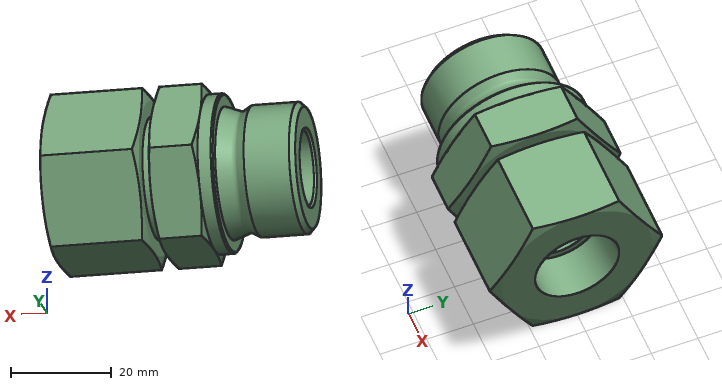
import cadquery as cq
import math


across_flats = 32.0
across_corners = across_flats / math.cos(math.radians(30))
hex_chamfer_angle = 15.0
full_chamfer_radius = across_flats / 2
neck_side_chamfer_radius = 15.7
nut_front_chamfer_radius = 15.5

thread_radius = 26.44 / 2
thread_chamfer = 1.05
thread_end = 10.25
undercut_radius = 12.14
thread_side_angle = 30.0
thread_side_fillet = 1.0
flange_side_angle = 20.0
flange_side_fillet = 1.5

flange_start = 16.0
flange_radius = across_flats / 2
flange_chamfer = 0.35
body_hex_start = 19.0
body_hex_end = 29.0

neck_radius = 12.35
neck_fillet = 1.0
neck_end = 41.0

bore_radius = 7.5
bore_chamfer = 0.5

nut_start = 31.0
nut_end = 51.0
tube_hole_radius = 9.0


def cylinder(start, end, radius):
    """Cylinder along X between two axial positions."""
    return cq.Workplane("YZ").workplane(offset=start).circle(radius).extrude(end - start)


def chamfered_hexagon(start, end, start_radius, end_radius):
    """Hexagonal prism along X, its corners cut by a cone at each end."""
    corner_radius = across_corners / 2
    slope = math.tan(math.radians(hex_chamfer_angle))
    prism = (
        cq.Workplane("YZ")
        .workplane(offset=start)
        .polygon(6, across_corners)
        .extrude(end - start)
    )
    envelope = (
        cq.Workplane("XY")
        .moveTo(start, 0)
        .lineTo(start, start_radius)
        .lineTo(start + (corner_radius - start_radius) * slope, corner_radius)
        .lineTo(end - (corner_radius - end_radius) * slope, corner_radius)
        .lineTo(end, end_radius)
        .lineTo(end, 0)
        .close()
        .revolve(360, (0, 0), (1, 0))
    )
    return prism.intersect(envelope)


def arc_point(center_x, radius, angle):
    """Point of an undercut fillet, at an angle in degrees from its lowest point."""
    turn = math.radians(angle)
    return (
        center_x + radius * math.sin(turn),
        undercut_radius + radius * (1 - math.cos(turn)),
    )


def turned_front():
    """Stud, undercut with tangent fillets between two cones, and flange."""
    front_start = arc_point(0, thread_side_fillet, -thread_side_angle)
    cone_length = (thread_radius - front_start[1]) / math.tan(math.radians(thread_side_angle))
    lowest_x = thread_end + cone_length - front_start[0]

    thread_side_top = arc_point(lowest_x, thread_side_fillet, -thread_side_angle)
    thread_side_middle = arc_point(lowest_x, thread_side_fillet, -thread_side_angle / 2)
    flange_side_middle = arc_point(lowest_x, flange_side_fillet, flange_side_angle / 2)
    flange_side_top = arc_point(lowest_x, flange_side_fillet, flange_side_angle)
    flange_cone_rise = (flange_start - flange_side_top[0]) * math.tan(math.radians(flange_side_angle))

    return (
        cq.Workplane("XY")
        .moveTo(0, 0)
        .lineTo(0, thread_radius - thread_chamfer)
        .lineTo(thread_chamfer, thread_radius)
        .lineTo(thread_end, thread_radius)
        .lineTo(*thread_side_top)
        .threePointArc(thread_side_middle, (lowest_x, undercut_radius))
        .threePointArc(flange_side_middle, flange_side_top)
        .lineTo(flange_start, flange_side_top[1] + flange_cone_rise)
        .lineTo(flange_start, flange_radius - flange_chamfer)
        .lineTo(flange_start + flange_chamfer, flange_radius)
        .lineTo(body_hex_start, flange_radius)
        .lineTo(body_hex_start, 0)
        .close()
        .revolve(360, (0, 0), (1, 0))
    )


def turned_neck():
    """Neck behind the body hexagon, with a fillet at its root."""
    arc_offset = neck_fillet * (1 - math.sqrt(0.5))
    return (
        cq.Workplane("XY")
        .moveTo(body_hex_end, 0)
        .lineTo(body_hex_end, neck_radius + neck_fillet)
        .threePointArc(
            (body_hex_end + arc_offset, neck_radius + arc_offset),
            (body_hex_end + neck_fillet, neck_radius),
        )
        .lineTo(neck_end, neck_radius)
        .lineTo(neck_end, 0)
        .close()
        .revolve(360, (0, 0), (1, 0))
    )


def body_bore():
    """Through bore with a chamfer at the stud end."""
    return (
        cq.Workplane("XY")
        .moveTo(0, 0)
        .lineTo(0, bore_radius + bore_chamfer)
        .lineTo(bore_chamfer, bore_radius)
        .lineTo(neck_end, bore_radius)
        .lineTo(neck_end, 0)
        .close()
        .revolve(360, (0, 0), (1, 0))
    )


def make_body():
    """Stud body: stud, flange, hexagon and neck in one piece."""
    hexagon = chamfered_hexagon(
        body_hex_start, body_hex_end, full_chamfer_radius, neck_side_chamfer_radius
    )
    return turned_front().union(hexagon).union(turned_neck()).cut(body_bore())


def make_nut():
    """Union nut: hexagon with a recess that fits the neck and a hole for the tube."""
    hexagon = chamfered_hexagon(
        nut_start, nut_end, nut_front_chamfer_radius, full_chamfer_radius
    )
    neck_recess = cylinder(nut_start, neck_end, neck_radius)
    tube_hole = cylinder(nut_start, nut_end, tube_hole_radius)
    return hexagon.cut(neck_recess).cut(tube_hole)


body = make_body()
nut = make_nut()

result = cq.Compound.makeCompound([body.val(), nut.val()])